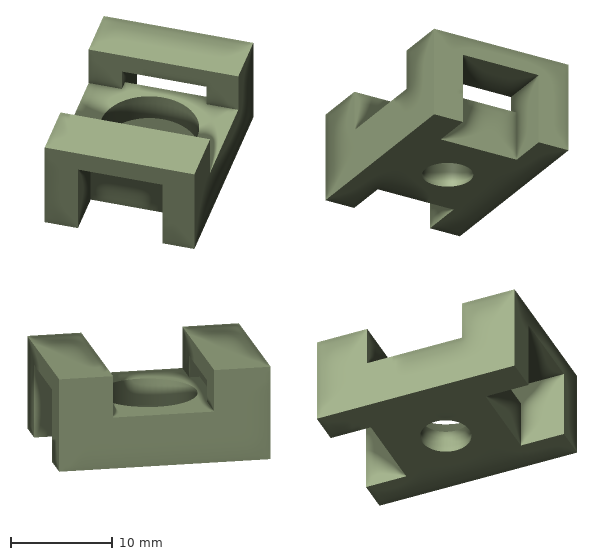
import cadquery as cq

width = 15.34
length = 21.3
height = 9.5

saddle_height = 5.25
front_bar = 5.69
rear_bar = 5.43

opening_width = 8.65
opening_center_x = 0.06
opening_height = 7.45
front_opening_depth = 4.62
rear_opening_depth = 4.32

hole_diameter = 5.07
counterbore_diameter = 9.85
counterbore_depth = 2.77
hole_y = 0.13


def box_along_y(box_width, y_start, y_end, z_bottom, z_top, center_x=0.0):
    """Box centred on center_x, spanning the given Y and Z ranges."""
    return cq.Workplane("XY").box(
        box_width, y_end - y_start, z_top - z_bottom, centered=(True, False, False)
    ).translate((center_x, y_start, z_bottom))


front = -length / 2
rear = length / 2

body = box_along_y(width, front, rear, 0, height)

body = body.cut(box_along_y(width, front + front_bar, rear - rear_bar, saddle_height, height))

body = body.cut(
    box_along_y(opening_width, front, rear, saddle_height, opening_height, opening_center_x)
)

for y_start, y_end in (
    (front, front + front_opening_depth),
    (rear - rear_opening_depth, rear),
):
    body = body.cut(
        box_along_y(opening_width, y_start, y_end, 0, opening_height, opening_center_x)
    )

result = (
    body.cut(
        cq.Workplane("XY").center(0, hole_y).circle(hole_diameter / 2).extrude(saddle_height)
    )
    .cut(
        cq.Workplane("XY", origin=(0, hole_y, saddle_height - counterbore_depth))
        .circle(counterbore_diameter / 2)
        .extrude(counterbore_depth)
    )
)